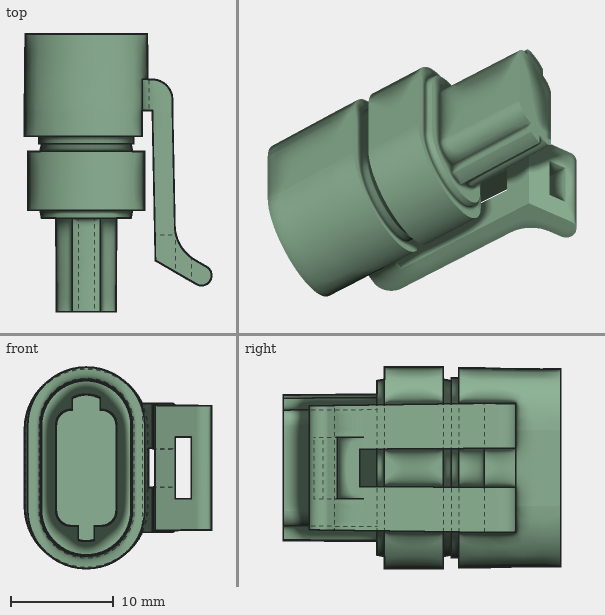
import math

import cadquery as cq

PLUG_LENGTH = 9.14
COLLAR_LENGTH = 0.74
SEAL_LENGTH = 5.76
NECK_LENGTH = 0.73
HOUSING_FRONT_LENGTH = 2.5
BLOCK_LENGTH = 3.06
OVERALL_LENGTH = 27.1

COLLAR_Y = PLUG_LENGTH
SEAL_Y = COLLAR_Y + COLLAR_LENGTH
REAR_COLLAR_Y = SEAL_Y + SEAL_LENGTH
NECK_Y = REAR_COLLAR_Y + COLLAR_LENGTH
HOUSING_Y = NECK_Y + NECK_LENGTH
BLOCK_Y = HOUSING_Y + HOUSING_FRONT_LENGTH
BLOCK_BACK_Y = BLOCK_Y + BLOCK_LENGTH

SEAL_ARC_OFFSET = 4.135
SEAL_RADIUS = 5.70
COLLAR_SMALL_RADIUS = 4.36
COLLAR_LARGE_RADIUS = 4.50
NECK_RADIUS = 4.64
HOUSING_ARC_OFFSET = 3.7
HOUSING_RADIUS = 6.04
HOUSING_BACK_RADIUS = 5.96

PLUG_BASE_WIDTH = 5.94
PLUG_BASE_HEIGHT = 11.4
PLUG_CORNER_RADIUS = 1.5
PLUG_DRAFT = 0.4
TAB_ENVELOPE_RADIUS = 3.045
TOP_TAB_WIDTH = 2.72
BOTTOM_TAB_WIDTH = 1.53

BLOCK_INNER_X = 5.45
BLOCK_OUTER_X = 8.42
BLOCK_HALF_HEIGHT = 6.29
BLOCK_CORNER_RADIUS = 2.0

ARM_THICKNESS = 1.98
ARM_LEAN = 1.15
ARM_ROOT_X = BLOCK_OUTER_X - ARM_THICKNESS
ARM_KNEE_Y = 5.0
ARM_FRONT_HALF_HEIGHT = 6.01
ARM_BEND_RADIUS = 3.9
TIP_SLOPE = 30.0
TIP_END_X = 12.23

SLOT_INNER_X = 6.08
SLOT_END_Y = 7.5
SLOT_HALF_HEIGHT = 1.9
SLOT_END_HALF_HEIGHT = 1.82
WINDOW_INNER_X = 8.69
WINDOW_OUTER_X = 10.23
WINDOW_HEIGHT = 6.0

CUT_MARGIN = 1.0


def section_plane(y):
    """Plane across the connector at station y, extruding towards +Y, local y = Z."""
    return cq.Workplane(cq.Plane((0, y, 0), (-1, 0, 0), (0, 1, 0)))


def oval(plane, arc_offset, radius):
    """Upright oval made of two half circles joined by straight sides."""
    return plane.slot2D(2 * (arc_offset + radius), 2 * radius, 90)


def oval_prism(y, length, arc_offset, radius, end_radius=None):
    """Oval body from y to y + length, tapering to end_radius when it is given."""
    draft = 0 if end_radius is None else math.degrees(math.atan((radius - end_radius) / length))
    return oval(section_plane(y), arc_offset, radius).extrude(length, taper=draft)


def box(x_min, x_max, y_min, y_max, half_height):
    """Box with the given X and Y limits, symmetric about z = 0."""
    return cq.Workplane("XY").box(
        x_max - x_min, y_max - y_min, 2 * half_height, centered=(False, False, True)
    ).translate((x_min, y_min, 0))


def tapered_slab(x_min, x_max, front, back):
    """Slab from x_min to x_max, given (y, half height) at its front and back."""
    outline = [front, back, (back[0], -back[1]), (front[0], -front[1])]
    return cq.Workplane("YZ").workplane(offset=x_min).polyline(outline).close().extrude(x_max - x_min)


def make_core():
    """Seal with its collars, the neck and the housing, as stacked ovals."""
    core = oval_prism(SEAL_Y, SEAL_LENGTH, SEAL_ARC_OFFSET, SEAL_RADIUS)
    rear_collar = oval_prism(
        REAR_COLLAR_Y, COLLAR_LENGTH, SEAL_ARC_OFFSET, COLLAR_LARGE_RADIUS, COLLAR_SMALL_RADIUS
    )
    front_collar = oval_prism(
        COLLAR_Y, COLLAR_LENGTH, SEAL_ARC_OFFSET, COLLAR_SMALL_RADIUS, COLLAR_LARGE_RADIUS
    )
    neck = oval_prism(NECK_Y, NECK_LENGTH, SEAL_ARC_OFFSET, NECK_RADIUS)
    housing_front = oval_prism(HOUSING_Y, HOUSING_FRONT_LENGTH, HOUSING_ARC_OFFSET, HOUSING_RADIUS)
    housing_flat = box(
        BLOCK_INNER_X, HOUSING_RADIUS + CUT_MARGIN, HOUSING_Y, BLOCK_Y, BLOCK_HALF_HEIGHT
    )
    housing_back = oval_prism(
        BLOCK_Y, OVERALL_LENGTH - BLOCK_Y, HOUSING_ARC_OFFSET, HOUSING_RADIUS, HOUSING_BACK_RADIUS
    )
    core = core.union(front_collar).union(rear_collar).union(neck)
    return core.union(housing_front.cut(housing_flat)).union(housing_back)


def make_plug():
    """Drafted rounded bar with a wide tab on top and a narrow tab below."""
    base = cq.Workplane(cq.Plane((0, PLUG_LENGTH, 0), (1, 0, 0), (0, -1, 0)))
    bar_sketch = cq.Sketch().rect(PLUG_BASE_WIDTH, PLUG_BASE_HEIGHT)
    bar_sketch = bar_sketch.vertices().fillet(PLUG_CORNER_RADIUS)
    bar = base.placeSketch(bar_sketch).extrude(PLUG_LENGTH, taper=PLUG_DRAFT)

    envelope = oval(base, SEAL_ARC_OFFSET, TAB_ENVELOPE_RADIUS)
    envelope = envelope.extrude(PLUG_LENGTH, taper=PLUG_DRAFT)
    tab_reach = SEAL_ARC_OFFSET + TAB_ENVELOPE_RADIUS
    for width, side in ((TOP_TAB_WIDTH, 1), (BOTTOM_TAB_WIDTH, -1)):
        tab = box(-width / 2, width / 2, 0, PLUG_LENGTH, tab_reach / 2)
        tab = tab.translate((0, 0, side * tab_reach / 2))
        bar = bar.union(tab.intersect(envelope))
    return bar


def make_block():
    """Latch block with its rear outer corner rounded."""
    block = box(BLOCK_INNER_X, BLOCK_OUTER_X, BLOCK_Y, BLOCK_BACK_Y, BLOCK_HALF_HEIGHT)
    return block.edges("|Z and >X and >Y").fillet(BLOCK_CORNER_RADIUS)


def make_arm():
    """Leaning arm with a bent, fully rounded finger tip and slightly narrowing height."""
    lean = math.tan(math.radians(ARM_LEAN))
    slope = math.radians(TIP_SLOPE)
    tip_radius = ARM_THICKNESS / 2
    along = (math.cos(slope), -math.sin(slope))
    normal = (math.sin(slope), math.cos(slope))

    knee_x = ARM_ROOT_X + lean * (BLOCK_Y - ARM_KNEE_Y)
    center_x = TIP_END_X - tip_radius
    lower_x = center_x - tip_radius * normal[0]
    lower_y = ARM_KNEE_Y - (lower_x - knee_x) * math.tan(slope)
    center_y = lower_y + tip_radius * normal[1]
    upper_x = center_x + tip_radius * normal[0]
    upper_y = center_y + tip_radius * normal[1]
    end_point = (center_x + tip_radius * along[0], center_y + tip_radius * along[1])

    drop_to_tip = BLOCK_Y - upper_y
    bend_x = BLOCK_OUTER_X + lean * (drop_to_tip - upper_x * math.tan(slope))
    bend_x = bend_x / (1 - lean * math.tan(slope))
    bend_y = upper_y + (upper_x - bend_x) * math.tan(slope)

    arm = (
        cq.Workplane("XY")
        .workplane(offset=-BLOCK_HALF_HEIGHT)
        .moveTo(ARM_ROOT_X, BLOCK_Y)
        .lineTo(knee_x, ARM_KNEE_Y)
        .lineTo(lower_x, lower_y)
        .threePointArc(end_point, (upper_x, upper_y))
        .lineTo(bend_x, bend_y)
        .lineTo(BLOCK_OUTER_X, BLOCK_Y)
        .close()
        .extrude(2 * BLOCK_HALF_HEIGHT)
    )
    arm = arm.edges(cq.NearestToPointSelector((bend_x, bend_y, 0))).fillet(ARM_BEND_RADIUS)
    height_limit = tapered_slab(
        0, TIP_END_X + CUT_MARGIN, (0, ARM_FRONT_HALF_HEIGHT), (BLOCK_Y, BLOCK_HALF_HEIGHT)
    )
    window = box(WINDOW_INNER_X, WINDOW_OUTER_X, 0, BLOCK_Y, WINDOW_HEIGHT / 2)
    return arm.intersect(height_limit).cut(window)


def make_latch_slot():
    """Slot running along the arm and out through the back of the block."""
    outer_x = BLOCK_OUTER_X + CUT_MARGIN
    block_slot = box(SLOT_INNER_X, outer_x, BLOCK_Y, BLOCK_BACK_Y, SLOT_HALF_HEIGHT)
    arm_slot = tapered_slab(
        SLOT_INNER_X, outer_x, (SLOT_END_Y, SLOT_END_HALF_HEIGHT), (BLOCK_Y, SLOT_HALF_HEIGHT)
    )
    return block_slot.union(arm_slot)


latch = make_block().union(make_arm()).cut(make_latch_slot())
result = make_core().union(make_plug()).union(latch)